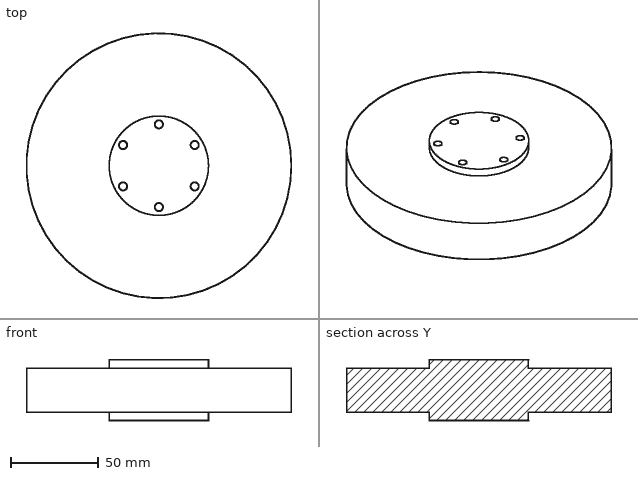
import cadquery as cq

disc_diameter = 152.0
disc_thickness = 25.4

hub_diameter = 57.0
hub_length = 35.0

hole_count = 6
hole_diameter = 4.5
bolt_circle_diameter = 47.5
first_hole_angle = 90

disc = cq.Workplane("XY").cylinder(disc_thickness, disc_diameter / 2)
hub = cq.Workplane("XY").cylinder(hub_length, hub_diameter / 2)

bolt_holes = (
    cq.Workplane("XY")
    .polarArray(bolt_circle_diameter / 2, first_hole_angle, 360, hole_count)
    .cylinder(hub_length, hole_diameter / 2)
)

result = disc.union(hub).cut(bolt_holes)